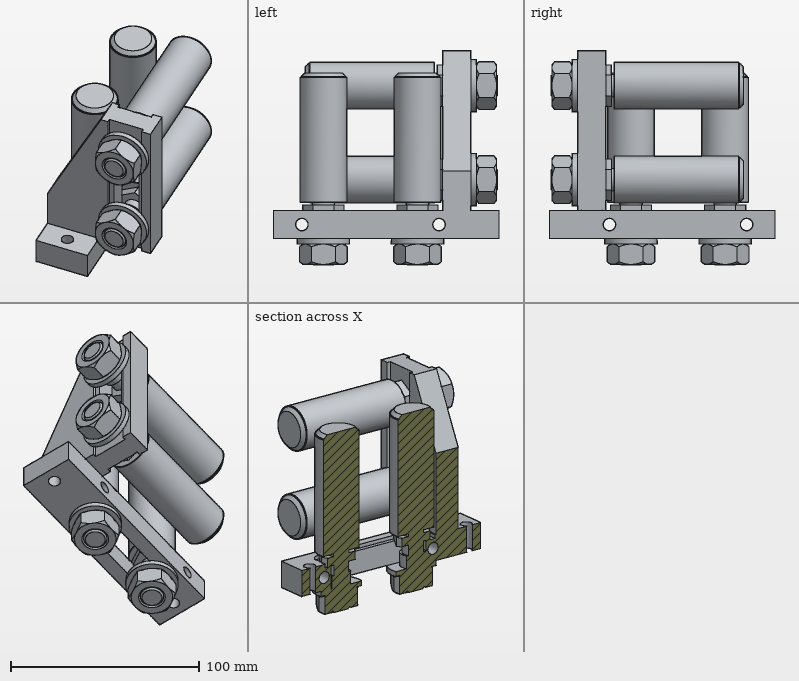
import cadquery as cq

base_width = 30.0
base_length = 120.0
thickness = 15.0

plate_y = 15.0
plate_width = 60.0
plate_top = 100.0
plate_shoulder_z = 36.0
plate_shoulder_x = 31.2

roller_spacing = 50.0
slot_width = 14.5
groove_width = 19.5
groove_depth = 2.0
base_slot_y = 68.4
base_slot_x = base_width / 2
plate_slot_z = 56.4
plate_slot_x = plate_width - base_width / 2
base_groove_start = 30.8
base_groove_end = 104.2
groove_corner_radius = 4.8

hole_diameter = 6.5
end_hole_inset = thickness / 2
cross_hole_spacing = 73.0

roller_diameter = 25.0
roller_bottom = 4.3
roller_top = 73.2
roller_chamfer = 2.5
roller_rim_step = 0.5
roller_edge_chamfer = 0.2
neck_diameter = 12.0
shank_diameter = 11.6
stud_diameter = 12.5
stud_tip_chamfer = 1.0
collar_diameter = 14.0
collar_height = 7.2

slide_nut_flats = 19.1
slide_nut_top = 3.0

washer_diameter = 28.0
washer_thickness = 2.9
nut_flats = 22.1
nut_thickness = 10.8
nut_chamfer_height = 1.5
nut_bore_chamfer = 0.8
stud_protrusion = 0.4

flats_to_corners = 2 / 3 ** 0.5


def cylinder(diameter, bottom, top):
    return cq.Workplane("XY").workplane(offset=bottom).circle(diameter / 2).extrude(top - bottom)


def hexagon(flats, bottom, top):
    """Hexagonal prism with two corners on the Y axis."""
    prism = cq.Workplane("XY").workplane(offset=bottom).polygon(6, flats * flats_to_corners)
    return prism.extrude(top - bottom).rotate((0, 0, 0), (0, 0, 1), 90)


def roller_body():
    rim_diameter = roller_diameter - 2 * roller_rim_step
    shoulder = roller_top - roller_chamfer
    body = cylinder(roller_diameter, roller_bottom, shoulder)
    body = body.faces("<Z").chamfer(roller_edge_chamfer)
    crown = cylinder(rim_diameter, shoulder, roller_top)
    crown_chamfer = roller_chamfer - roller_rim_step
    return body.union(crown.faces(">Z").chamfer(crown_chamfer))


def clamping_nut(bottom, top):
    corners = nut_flats * flats_to_corners
    corner_cut = (corners - nut_flats) / 2
    envelope = cylinder(corners, bottom, top)
    envelope = envelope.faces(">Z").chamfer(nut_chamfer_height, corner_cut)
    envelope = envelope.faces("<Z").chamfer(nut_chamfer_height, corner_cut)
    bore = cylinder(stud_diameter, bottom, top)
    nut = hexagon(nut_flats, bottom, top).intersect(envelope).cut(bore)
    bore_edge = nut.faces("<Z").edges("%CIRCLE").edges(cq.selectors.RadiusNthSelector(0))
    return bore_edge.chamfer(nut_bore_chamfer)


def roller_assembly():
    """Complete roller on the Z axis; the bar it clamps spans -thickness to 0."""
    nut_top = -thickness - washer_thickness
    nut_bottom = nut_top - nut_thickness
    stud = cylinder(stud_diameter, nut_bottom - stud_protrusion, nut_top)
    stud = stud.faces("<Z").chamfer(stud_tip_chamfer)
    shank = cylinder(shank_diameter, nut_top, 0)
    neck = cylinder(neck_diameter, 0, roller_bottom)
    assembly = roller_body().union(neck).union(shank).union(stud)
    assembly = assembly.union(hexagon(slide_nut_flats, -groove_depth, slide_nut_top))
    assembly = assembly.union(cylinder(collar_diameter, nut_top, collar_height - thickness))
    assembly = assembly.union(cylinder(washer_diameter, nut_top, -thickness))
    return assembly.union(clamping_nut(nut_bottom, nut_top))


def base_bar():
    bar = cq.Workplane("XY").box(base_width, base_length, thickness, centered=False)
    slot_center = (base_slot_x, base_slot_y)
    slot_length = roller_spacing + slot_width

    slot = cq.Workplane("XY").center(*slot_center).slot2D(slot_length, slot_width, 90).extrude(thickness)
    groove = (
        cq.Workplane("XY")
        .box(groove_width, base_groove_end - base_groove_start, groove_depth, centered=(True, False, False))
        .translate((base_slot_x, base_groove_start, thickness - groove_depth))
        .edges("|Z")
        .fillet(groove_corner_radius)
    )
    end_holes = (
        cq.Workplane("XY")
        .pushPoints([(base_slot_x, end_hole_inset), (base_slot_x, base_length - end_hole_inset)])
        .circle(hole_diameter / 2)
        .extrude(thickness)
    )
    cross_holes = (
        cq.Workplane("YZ")
        .center(base_slot_y, thickness / 2)
        .pushPoints([(-cross_hole_spacing / 2, 0), (cross_hole_spacing / 2, 0)])
        .circle(hole_diameter / 2)
        .extrude(base_width)
    )
    return bar.cut(slot).cut(groove).cut(end_holes).cut(cross_holes)


def gusset_plate():
    plate_back = plate_y + thickness
    plate = (
        cq.Workplane("XZ", origin=(0, plate_back, 0))
        .moveTo(0, thickness)
        .lineTo(plate_width, thickness)
        .lineTo(plate_width, plate_top)
        .lineTo(plate_shoulder_x, plate_top)
        .lineTo(0, plate_shoulder_z)
        .close()
        .extrude(thickness)
    )
    slot = (
        cq.Workplane("XZ", origin=(plate_slot_x, plate_back, plate_slot_z))
        .slot2D(roller_spacing + slot_width, slot_width, 90)
        .extrude(thickness)
    )
    plate = plate.cut(slot)
    groove_left = plate_slot_x - groove_width / 2
    for groove_y in (plate_y, plate_back - groove_depth):
        groove = cq.Workplane("XY").box(groove_width, groove_depth, plate_top, centered=False)
        plate = plate.cut(groove.translate((groove_left, groove_y, 0)))
    return plate


result = base_bar().union(gusset_plate())

upright_roller = roller_assembly()
level_roller = upright_roller.rotate((0, 0, 0), (1, 0, 0), -90)
for shift in (-roller_spacing / 2, roller_spacing / 2):
    result = result.union(upright_roller.translate((base_slot_x, base_slot_y + shift, thickness)))
    result = result.union(
        level_roller.translate((plate_slot_x, plate_y + thickness, plate_slot_z + shift))
    )